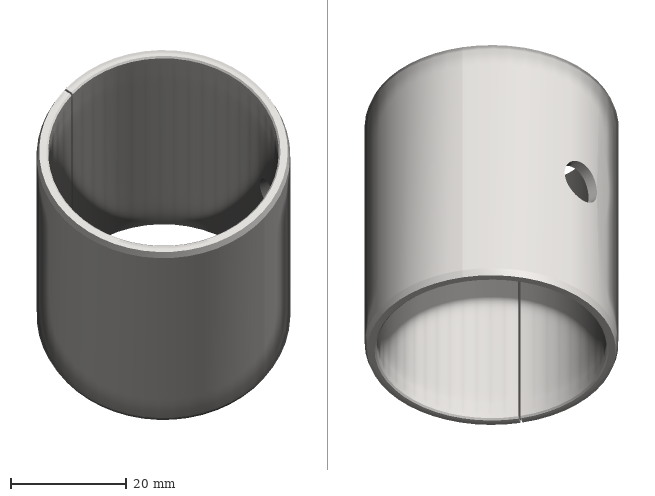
import cadquery as cq
import math

length = 50.0
outer_diameter = 44.0
bore_diameter = 40.0
outer_radius = outer_diameter / 2
bore_radius = bore_diameter / 2

outer_chamfer_height = 1.2
outer_chamfer_width = 0.45
bore_chamfer = 0.3

seam_width = 0.375

hole_diameter = 8.0
hole_angle = 59.0


def make_sleeve():
    """Revolve the chamfered wall section around Z."""
    section = [
        (bore_radius, bore_chamfer),
        (bore_radius + bore_chamfer, 0),
        (outer_radius - outer_chamfer_width, 0),
        (outer_radius, outer_chamfer_height),
        (outer_radius, length - outer_chamfer_height),
        (outer_radius - outer_chamfer_width, length),
        (bore_radius + bore_chamfer, length),
        (bore_radius, length - bore_chamfer),
    ]
    return cq.Workplane("XZ").polyline(section).close().revolve(360, (0, 0), (0, 1))


def make_seam():
    """Thin full-length slab that reaches from the axis out through the -X wall."""
    slab = cq.Workplane("XY").box(outer_radius, seam_width, length, centered=False)
    return slab.translate((-outer_radius, 0, 0))


def make_oil_hole():
    """Radial cylinder from the axis out through one side of the wall."""
    angle = math.radians(hole_angle)
    direction = cq.Vector(math.cos(angle), math.sin(angle), 0)
    start = cq.Vector(0, 0, length / 2)
    return cq.Solid.makeCylinder(hole_diameter / 2, outer_diameter, start, direction)


result = make_sleeve().cut(make_seam()).cut(make_oil_hole())